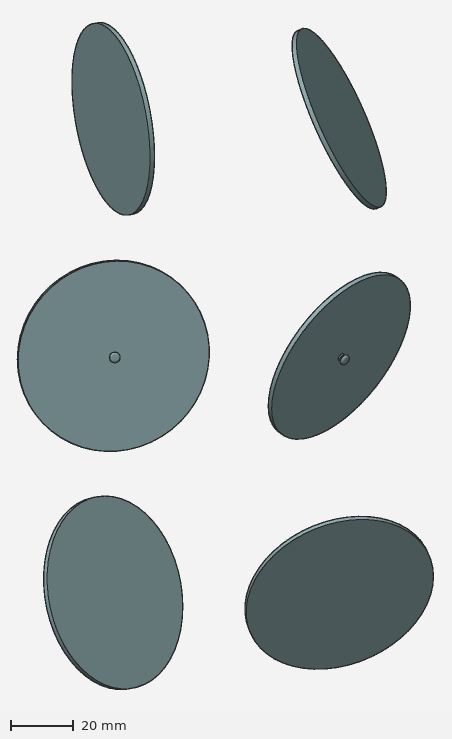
import cadquery as cq

disc_diameter = 62.0
disc_thickness = 1.6

total_depth = 4.0
neck_radius = 1.9 / 2
foot_radius = 1.3
foot_height = 0.45
neck_length = 0.45

neck_start = disc_thickness + foot_height
head_start = neck_start + neck_length
head_round_radius = (total_depth - head_start) / 2
head_middle = head_start + head_round_radius
head_radius = neck_radius + head_round_radius


def make_disc():
    return cq.Workplane("XZ").circle(disc_diameter / 2).extrude(-disc_thickness)


def make_knob():
    """Revolve a conical foot, a straight neck and a round-rimmed head about Y."""
    root = disc_thickness / 2
    profile = (
        cq.Workplane("YZ")
        .moveTo(root, 0)
        .lineTo(root, foot_radius)
        .lineTo(disc_thickness, foot_radius)
        .lineTo(neck_start, neck_radius)
        .lineTo(head_start, neck_radius)
        .threePointArc((head_middle, head_radius), (total_depth, neck_radius))
        .lineTo(total_depth, 0)
        .close()
    )
    return profile.revolve(360, (0, 0, 0), (1, 0, 0))


result = make_disc().union(make_knob())